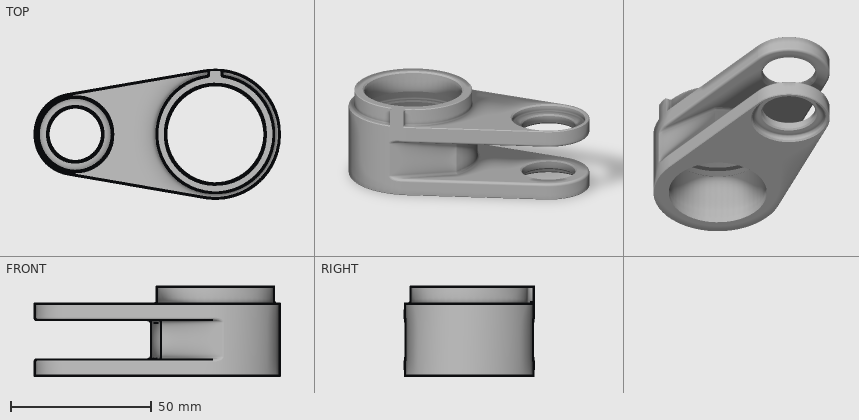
import cadquery as cq
import math


total_length = 87.5
big_radius = 23.0
small_radius = 14.5
small_x = big_radius + small_radius - total_length
arm_thickness = 6.0
body_height = 26.0
total_height = 32.0
slot_height = body_height - 2 * arm_thickness

web_half_width = 12.5
web_flat_angle = 25
crease_x = -math.sqrt(big_radius**2 - web_half_width**2)
slot_fillet = 1.0

ring_radius = 21.0
tab_width = 5.0

bore_radius = 17.5
groove_radius = 19.5
groove_floor = 21.0
groove_top = 24.5

hole_radius = 9.5
counterbore_radius = 13.0
counterbore_depth = 2.5

outer_chamfer = 0.3
hole_chamfer = 0.5
root_fillet = 0.5

touch_gap = 0.001


def disc(x, radius, bottom, top):
    """Upright cylinder centred on the X axis, between two heights."""
    return cq.Workplane("XY", origin=(x, 0, bottom)).circle(radius).extrude(top - bottom)


def pocket(x, radius, floor, top):
    """Upright cylinder with a rounded floor edge."""
    return disc(x, radius, floor, top).faces("<Z").edges().fillet(root_fillet)


def flare(x, radius, level, direction):
    """Cone that chamfers a hole rim at a level; direction +1 narrows upward, -1 downward."""
    mouth = cq.Workplane("XY", origin=(x, 0, level)).circle(radius + hole_chamfer)
    return mouth.workplane(offset=direction * hole_chamfer).circle(radius).loft()


def touching_edges(part, target, low, high):
    """Edges of the part whose middle lies on the target shape and between two heights."""
    found = []
    for edge in part.edges().vals():
        middle = edge.positionAt(0.5)
        gap = cq.Vertex.makeVertex(*middle.toTuple()).distance(target)
        if gap < touch_gap and low - touch_gap < middle.z < high + touch_gap:
            found.append(edge)
    return part.newObject(found)


def body_blank():
    """Two end circles joined by their common tangent lines."""
    tangent_cos = (big_radius - small_radius) / small_x
    tangent_sin = math.sqrt(1 - tangent_cos**2)
    big_end_x = big_radius * tangent_cos
    big_end_y = big_radius * tangent_sin
    small_end_x = small_x + small_radius * tangent_cos
    small_end_y = small_radius * tangent_sin
    outline = (
        cq.Workplane("XY")
        .moveTo(big_end_x, -big_end_y)
        .threePointArc((big_radius, 0), (big_end_x, big_end_y))
        .lineTo(small_end_x, small_end_y)
        .threePointArc((small_x - small_radius, 0), (small_end_x, -small_end_y))
        .close()
    )
    return outline.extrude(body_height)


def nose_cutter():
    """Space outside the round web nose, with rounded corners along the arms."""
    reach = 3 * big_radius
    ring = (
        cq.Workplane("XY", origin=(0, 0, arm_thickness))
        .circle(reach)
        .circle(big_radius)
        .extrude(slot_height)
        .edges(cq.selectors.RadiusNthSelector(0))
        .fillet(slot_fillet)
    )
    nose_side = cq.Workplane("XY", origin=(crease_x / 2 - reach, 0, 0)).box(
        reach, 2 * reach, body_height, centered=(False, True, False)
    )
    return ring.intersect(nose_side)


def flat_cutter():
    """Space beyond the -Y slanted flat of the web, with rounded corners along the arms."""
    block = (
        cq.Workplane("XY")
        .box(4 * big_radius, big_radius, slot_height, centered=(True, False, False))
        .edges("|X and <Y")
        .fillet(slot_fillet)
    )
    turned = block.mirror("XZ").rotate((0, 0, 0), (0, 0, 1), -web_flat_angle)
    return turned.translate((crease_x, -web_half_width, arm_thickness))


def forked_body():
    """Body with the slot cut, the slot mouth rounded and the top and bottom rims chamfered."""
    blank = body_blank()
    walls = cq.Compound.makeCompound(blank.faces("not |Z").vals())
    flat = flat_cutter()
    body = blank.cut(nose_cutter()).cut(flat).cut(flat.mirror("XZ"))
    mouth = touching_edges(body, walls, arm_thickness, body_height - arm_thickness)
    return mouth.fillet(slot_fillet).faces("<Z or >Z").edges().chamfer(outer_chamfer)


def boss_shape():
    """Raised ring and the +Y tab, whose end is flush with the body; both sink past the rim chamfer."""
    bottom = body_height - outer_chamfer
    tab = (
        cq.Workplane("XY", origin=(0, 0, bottom))
        .rect(tab_width, big_radius + ring_radius)
        .extrude(total_height - bottom)
        .translate((0, (big_radius + ring_radius) / 2, 0))
        .intersect(disc(0, big_radius, bottom, total_height))
    )
    boss = disc(0, ring_radius, bottom, total_height).union(tab)
    inner_corners = cq.selectors.BoxSelector(
        (-tab_width, 0, bottom), (tab_width, (ring_radius + big_radius) / 2, total_height)
    )
    boss = boss.edges("|Z").edges(inner_corners).fillet(root_fillet)
    return boss.faces(">Z").edges("not >Y").chamfer(outer_chamfer)


def add_boss(body):
    """Join the boss to the body with a fillet around its foot."""
    boss = boss_shape()
    foot = touching_edges(body.union(boss), boss.val(), body_height, body_height)
    return foot.fillet(root_fillet)


def cut_large_bore(part):
    """Cut the through bore, its internal groove and the chamfers on the top rim and groove floor."""
    return (
        part.cut(disc(0, bore_radius, 0, total_height))
        .cut(pocket(0, groove_radius, groove_floor, groove_top))
        .cut(flare(0, bore_radius, total_height, -1))
        .cut(flare(0, bore_radius, groove_floor, -1))
    )


def small_hole_cutter():
    """Counterbored hole through the upper arm, with every rim chamfered."""
    seat = body_height - counterbore_depth
    arm_bottom = body_height - arm_thickness
    return (
        disc(small_x, hole_radius, arm_bottom, body_height)
        .union(pocket(small_x, counterbore_radius, seat, body_height))
        .union(flare(small_x, counterbore_radius, body_height, -1))
        .union(flare(small_x, hole_radius, seat, -1))
        .union(flare(small_x, hole_radius, arm_bottom, 1))
    )


def cut_small_holes(part):
    """Cut the same hole in both arms, counterbored from their outer faces."""
    upper = small_hole_cutter()
    lower = upper.mirror("XY").translate((0, 0, body_height))
    return part.cut(upper).cut(lower)


lever = add_boss(forked_body())
result = cut_small_holes(cut_large_bore(lever))